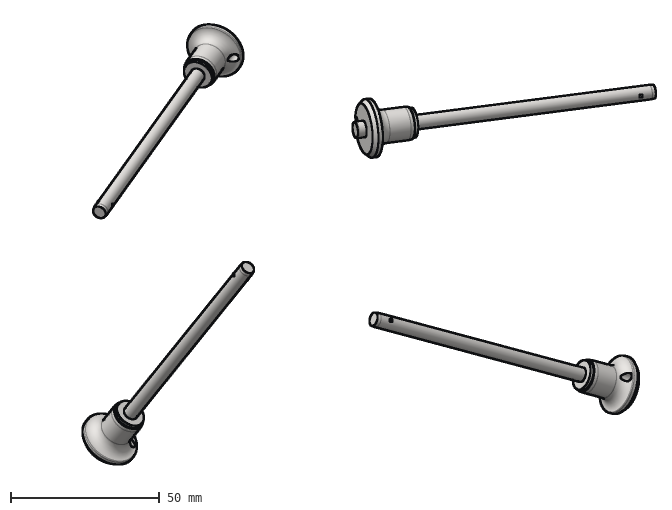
import cadquery as cq
import math

total_length = 106.7
button_end = total_length / 2
tip_end = -total_length / 2

flange_radius = 9.98
flange_face_radius = 8.6
body_radius = 5.71
collar_shoulder_radius = 5.5
collar_radius = 5.1
button_radius = 2.83
shank_radius = 2.51
tip_radius = 2.3

button_height = 3.1
flange_bevel_length = 1.6
rim_length = 1.4
rim_edge_radius = 0.3
body_length = 7.6
body_edge_length = 1.5
collar_length = 1.3
tip_taper_length = 1.4
button_edge_length = 0.4
button_edge_inset = 0.1

lanyard_hole_diameter = 3.0
lanyard_hole_offset = 7.5
ball_radius = 0.6
ball_center_offset = 2.2
ball_distance_from_tip = 5.4

flare_radius = flange_radius - rim_edge_radius - body_radius

flange_face = button_end - button_height
rim_top = flange_face - flange_bevel_length
rim_bottom = rim_top - rim_length
flare_top = rim_bottom - rim_edge_radius
flare_bottom = flare_top - flare_radius
body_edge_start = flare_bottom - body_length
collar_top = body_edge_start - body_edge_length
collar_end = collar_top - collar_length


def make_pin():
    """Revolve the half section of button, handle and shank around Y."""
    diagonal = math.sqrt(0.5)
    rim_edge_mid = (
        flange_radius - rim_edge_radius * (1 - diagonal),
        rim_bottom - rim_edge_radius * diagonal,
    )
    flare_mid = (
        body_radius + flare_radius * (1 - diagonal),
        flare_bottom + flare_radius * diagonal,
    )

    edge_drop = body_radius - collar_shoulder_radius
    edge_radius = (edge_drop**2 + body_edge_length**2) / (2 * edge_drop)
    edge_mid_y = (body_edge_start + collar_top) / 2
    edge_center_x = body_radius - edge_radius
    edge_mid_x = edge_center_x + math.sqrt(edge_radius**2 - (edge_mid_y - body_edge_start) ** 2)

    section = (
        cq.Workplane("XY")
        .moveTo(0, button_end)
        .lineTo(button_radius - button_edge_inset, button_end)
        .lineTo(button_radius, button_end - button_edge_length)
        .lineTo(button_radius, flange_face)
        .lineTo(flange_face_radius, flange_face)
        .lineTo(flange_radius, rim_top)
        .lineTo(flange_radius, rim_bottom)
        .threePointArc(rim_edge_mid, (flange_radius - rim_edge_radius, flare_top))
        .threePointArc(flare_mid, (body_radius, flare_bottom))
        .lineTo(body_radius, body_edge_start)
        .threePointArc((edge_mid_x, edge_mid_y), (collar_shoulder_radius, collar_top))
        .lineTo(collar_radius, collar_top)
        .lineTo(collar_radius, collar_end)
        .lineTo(shank_radius, collar_end)
        .lineTo(shank_radius, tip_end + tip_taper_length)
        .lineTo(tip_radius, tip_end)
        .lineTo(0, tip_end)
        .close()
    )
    return section.revolve(360, (0, 0, 0), (0, 1, 0))


def make_lanyard_hole():
    """Cylinder parallel to Y that passes through the flange on its +X side."""
    hole_start = cq.Vector(lanyard_hole_offset, flare_bottom, 0)
    hole_length = flange_face - flare_bottom
    return cq.Solid.makeCylinder(
        lanyard_hole_diameter / 2, hole_length, hole_start, cq.Vector(0, 1, 0)
    )


def make_ball(side):
    """Locking ball standing out of the shank on the given side of X."""
    ball_y = tip_end + ball_distance_from_tip
    return cq.Workplane("XY").sphere(ball_radius).translate((side * ball_center_offset, ball_y, 0))


result = make_pin().cut(cq.Workplane(obj=make_lanyard_hole()))
for side in (-1, 1):
    result = result.union(make_ball(side))